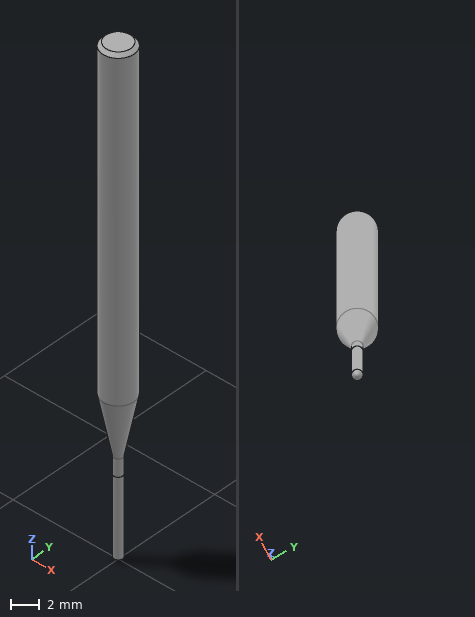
import cadquery as cq

total_length = 46.0
shank_diameter = 3.0
shank_chamfer = 0.3
cutter_diameter = 0.85
tip_height = 0.25
cutter_top = 7.6
neck_top = 9.2
taper_top = 14.75

shank_radius = shank_diameter / 2
cutter_radius = cutter_diameter / 2


def make_shank():
    """Chamfered shank with a taper and a short neck at its lower end."""
    return (
        cq.Workplane("YZ")
        .moveTo(0, cutter_top)
        .lineTo(-cutter_radius, cutter_top)
        .lineTo(-cutter_radius, neck_top)
        .lineTo(-shank_radius, taper_top)
        .lineTo(-shank_radius, total_length - shank_chamfer)
        .lineTo(-shank_radius + shank_chamfer, total_length)
        .lineTo(0, total_length)
        .close()
        .revolve(360, (0, 0, 0), (0, 1, 0))
    )


def make_cutter():
    """Slim cutter with a conical tip, meeting the neck end face to face."""
    return (
        cq.Workplane("XZ")
        .moveTo(0, 0)
        .lineTo(-cutter_radius, tip_height)
        .lineTo(-cutter_radius, cutter_top)
        .lineTo(0, cutter_top)
        .close()
        .revolve(360, (0, 0, 0), (0, 1, 0))
    )


shank = make_shank()
cutter = make_cutter()

result = cq.Compound.makeCompound([shank.val(), cutter.val()])